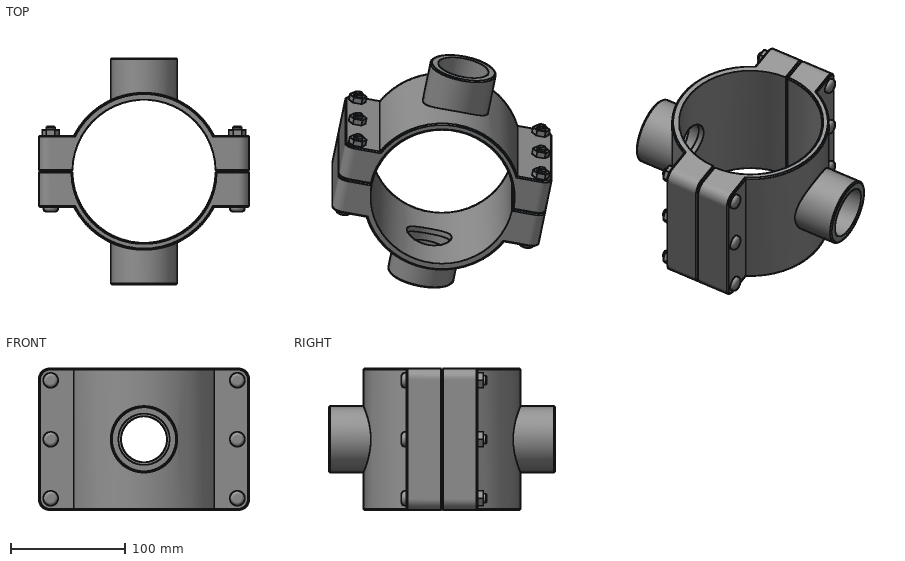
import cadquery as cq

height = 124.0
bore_diameter = 125.0
wall = 6.25
flange_span = 184.0
flange_depth = 31.25
flange_corner_radius = 9.5
edge_chamfer = 1.2

spigot_diameter = 58.3
spigot_bore_diameter = 44.84
port_diameter = 40.0
spigot_reach = 99.0
spigot_bore_depth = 25.0
spigot_seat_depth = 1.5

bolt_diameter = 8.0
bolt_edge_distance = 10.4
bolt_end_length = 3.0
bolt_end_chamfer = 1.2
head_diameter = 13.0
head_flat_diameter = 7.5
head_rim_height = 1.2
head_height = 4.2
nut_width = 13.0
nut_height = 5.0
nut_turn = 30.0

bore_radius = bore_diameter / 2
shell_radius = bore_radius + wall
seat_radius = shell_radius - spigot_seat_depth
bolt_x = flange_span / 2 - bolt_edge_distance
bolt_z = height / 2 - bolt_edge_distance
bolt_positions = [(x, z) for x in (-bolt_x, bolt_x) for z in (-bolt_z, 0, bolt_z)]


def upright_cylinder(radius):
    """Cylinder on the Z axis, as tall as the clamp."""
    return cq.Workplane("XY").circle(radius).extrude(height / 2, both=True)


def cylinder_along_y(diameter, start, end):
    """Cylinder on the Y axis between two Y positions."""
    return cq.Workplane("XZ", origin=(0, start, 0)).circle(diameter / 2).extrude(start - end)


def turned_half(half):
    """The same shape on the -Y side, turned half a turn about X."""
    return half.rotate((0, 0, 0), (1, 0, 0), 180)


def branch_spigot():
    """Spigot on the +Y side, its inner end curved to sit in the shell."""
    outside = cylinder_along_y(spigot_diameter, 0, spigot_reach).faces(">Y").chamfer(edge_chamfer)
    port = cylinder_along_y(port_diameter, 0, spigot_reach)
    threaded_bore = cylinder_along_y(spigot_bore_diameter, spigot_reach - spigot_bore_depth, spigot_reach)
    return outside.cut(port).cut(threaded_bore).cut(upright_cylinder(seat_radius))


def clamp_half():
    """Half of the ring with its two flanges, on the +Y side of the joint."""
    joint_side = cq.Workplane("XZ").rect(flange_span, height).extrude(-shell_radius)
    ring = upright_cylinder(shell_radius).intersect(joint_side)
    flanges = (
        cq.Workplane("XZ").rect(flange_span, height).extrude(-flange_depth)
        .edges("|Y").fillet(flange_corner_radius)
    )
    half = ring.union(flanges).cut(upright_cylinder(bore_radius))

    ring_edges = half.edges(cq.selectors.RadiusNthSelector(-1))
    bore_bottom_edge = half.faces("<Z").edges(cq.selectors.RadiusNthSelector(0))
    joint_edges = half.faces("-Y").edges()
    flange_edges = half.faces("+Y").edges().filter(lambda edge: abs(edge.Center().x) > bore_radius)
    chamfered = ring_edges.add(bore_bottom_edge).add(joint_edges).add(flange_edges)
    half = half.newObject(chamfered.vals()).chamfer(edge_chamfer)

    return half.cut(cylinder_along_y(port_diameter, 0, shell_radius))


def bolt_head():
    """Domed bolt head on the flange face on the -Y side."""
    rim_y = -flange_depth - head_rim_height
    top_y = -flange_depth - head_height
    return (
        cq.Workplane("XY").moveTo(0, -flange_depth)
        .lineTo(head_diameter / 2, -flange_depth)
        .lineTo(head_diameter / 2, rim_y)
        .tangentArcPoint((head_flat_diameter / 2, top_y), relative=False)
        .lineTo(0, top_y)
        .close()
        .revolve(360, (0, 0, 0), (0, 1, 0))
    )


def nut_and_bolt_end():
    """Hexagon nut and the bolt end standing out of it, on the +Y side."""
    nut = (
        cq.Workplane("XZ", origin=(0, flange_depth, 0))
        .transformed(rotate=(0, 0, nut_turn))
        .polygon(6, nut_width, circumscribed=True).extrude(-nut_height)
    )
    bolt_end = cylinder_along_y(bolt_diameter, flange_depth, flange_depth + nut_height + bolt_end_length)
    return nut.union(bolt_end.faces(">Y").chamfer(bolt_end_chamfer))


back_spigot = branch_spigot()
front_spigot = turned_half(back_spigot)

back_half = clamp_half().cut(back_spigot)
clamp = back_half.union(turned_half(back_half))
for x, z in bolt_positions:
    clamp = clamp.union(bolt_head().translate((x, 0, z)))
    clamp = clamp.union(nut_and_bolt_end().translate((x, 0, z)))

result = cq.Compound.makeCompound([clamp.val(), back_spigot.val(), front_spigot.val()])